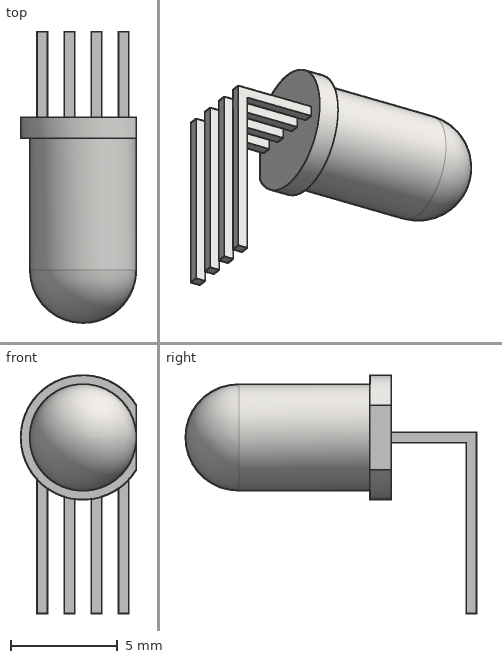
import cadquery as cq


lens_diameter = 5.0
lens_radius = lens_diameter / 2
overall_body_length = 9.65

flange_diameter = 5.84
flange_radius = flange_diameter / 2
flange_thickness = 1.0
flat_offset = lens_radius

lead_count = 4
lead_pitch = 1.27
lead_width = 0.5
lead_reach = 4.0
lead_drop = 8.5


def make_lens():
    """Cylinder closed by a hemispherical dome, revolved about the Y axis."""
    dome_start = lens_radius - overall_body_length
    dome_tip = -overall_body_length
    profile = (
        cq.Workplane("XY")
        .lineTo(lens_radius, 0)
        .lineTo(lens_radius, dome_start)
        .radiusArc((0, dome_tip), lens_radius)
        .close()
    )
    return profile.revolve(360, (0, 0, 0), (0, 1, 0))


def make_flange():
    """Disc at the base of the lens, trimmed by the flat."""
    disc = cq.Workplane("XZ").circle(flange_radius).extrude(flange_thickness)
    keep_width = flange_radius + flat_offset
    keep = (
        cq.Workplane("XZ")
        .center(flat_offset - keep_width / 2, 0)
        .rect(keep_width, flange_diameter)
        .extrude(flange_thickness)
    )
    return disc.intersect(keep)


def make_lead(x_center):
    """L-shaped lead: straight back from the flange, then down."""
    top = lead_width / 2
    underside = top - lead_width
    tip = top - lead_drop
    leg_front = lead_reach - lead_width
    return (
        cq.Workplane("YZ", origin=(x_center, 0, 0))
        .polyline([
            (0, top),
            (lead_reach, top),
            (lead_reach, tip),
            (leg_front, tip),
            (leg_front, underside),
            (0, underside),
        ])
        .close()
        .extrude(lead_width / 2, both=True)
    )


result = make_lens().union(make_flange())
for index in range(lead_count):
    x_center = (index - (lead_count - 1) / 2) * lead_pitch
    result = result.union(make_lead(x_center))